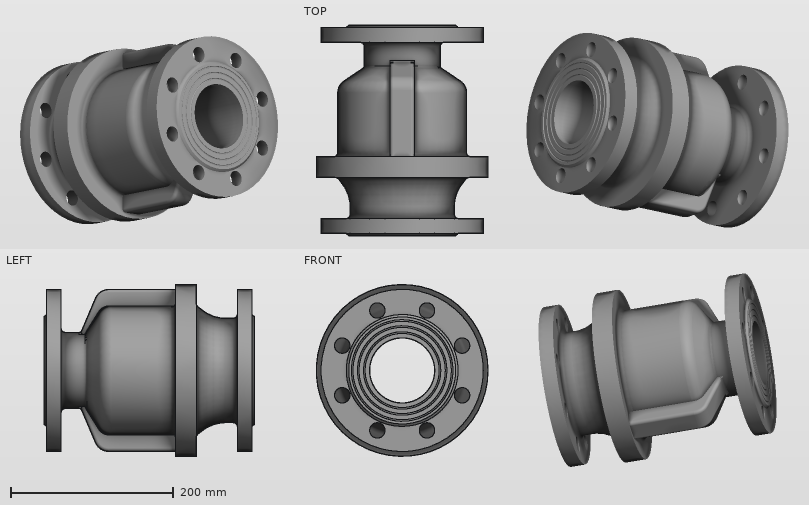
import cadquery as cq
import math

LENGTH = 260.0
INLET_FACE = 0.0
OUTLET_FACE = INLET_FACE + LENGTH
BORE_RADIUS = 80.0 / 2

FLANGE_RADIUS = 200.0 / 2
FLANGE_THICKNESS = 18.4
RAISED_FACE_HEIGHT = 3.0
RAISED_FACE_BASE_RADIUS = 138.0 / 2
RAISED_FACE_RIM_RADIUS = RAISED_FACE_BASE_RADIUS - RAISED_FACE_HEIGHT
BOLT_COUNT = 8
BOLT_HOLE_DIAMETER = 19.0
BOLT_CIRCLE_RADIUS = 160.0 / 2

GROOVE_COUNT = 3
FIRST_GROOVE_RADIUS = 46.7
GROOVE_PITCH = 7.5
GROOVE_HALF_WIDTH = 1.0

MIDDLE_RADIUS = 212.0 / 2
MIDDLE_START = 72.0
MIDDLE_THICKNESS = 25.7
MIDDLE_END = MIDDLE_START + MIDDLE_THICKNESS

ROOT_FILLET = 5.0

INLET_NECK_RADIUS = 129.0 / 2
FLARE_START = 37.0
FLARE_ARC_RADIUS = 43.0
FLARE_ANGLE = math.radians(37.0)
FLARE_ROOT_FILLET = 6.5

BODY_RADIUS = 159.0 / 2
SHOULDER_START = 176.5
SHOULDER_RADIUS = 17.5
CONE_ANGLE = math.radians(56.0)
OUTLET_NECK_RADIUS = 94.0 / 2
NECK_FILLET = 3.0

STRAP_WIDTH = 30.0
STRAP_TOP = 100.0
STRAP_BOTTOM = 79.3
STRAP_BEND_START = 179.5
STRAP_OUTER_BEND_RADIUS = 18.5
STRAP_OUTER_ANGLE = math.radians(67.0)
STRAP_INNER_BEND_RADIUS = 15.0
STRAP_INNER_ANGLE = math.radians(58.0)
STRAP_EDGE_FILLET = 4.0
STRAP_FOOT_FILLET = 3.4
STRAP_FOOT_DEPTH = 5.0


def bend_end(start, height, radius, angle):
    """End (y, height) of an arc that turns inwards by an angle from a line along Y."""
    return start + radius * math.sin(angle), height - radius * (1 - math.cos(angle))


def make_body():
    """Revolve the outer outline, drawn as (radius, y), about the Y axis."""
    inlet_flange_front = INLET_FACE + RAISED_FACE_HEIGHT
    inlet_flange_back = inlet_flange_front + FLANGE_THICKNESS
    outlet_flange_back = OUTLET_FACE - RAISED_FACE_HEIGHT
    outlet_flange_front = outlet_flange_back - FLANGE_THICKNESS

    flare_arc_end_radius = INLET_NECK_RADIUS + FLARE_ARC_RADIUS * (1 - math.cos(FLARE_ANGLE))
    flare_arc_end_y = FLARE_START + FLARE_ARC_RADIUS * math.sin(FLARE_ANGLE)
    flare_cone_y = MIDDLE_START - FLARE_ROOT_FILLET * (1 - math.sin(FLARE_ANGLE))
    flare_cone_radius = flare_arc_end_radius + (flare_cone_y - flare_arc_end_y) * math.tan(FLARE_ANGLE)
    flare_root_radius = flare_cone_radius + FLARE_ROOT_FILLET * math.cos(FLARE_ANGLE)

    shoulder_y, shoulder_radius = bend_end(SHOULDER_START, BODY_RADIUS, SHOULDER_RADIUS, CONE_ANGLE)
    cone_end_radius = OUTLET_NECK_RADIUS + NECK_FILLET * (1 - math.cos(CONE_ANGLE))
    cone_end_y = shoulder_y + (shoulder_radius - cone_end_radius) / math.tan(CONE_ANGLE)
    neck_start_y = cone_end_y + NECK_FILLET * math.sin(CONE_ANGLE)

    outline = (
        cq.Workplane("XY")
        .moveTo(0, INLET_FACE)
        .lineTo(RAISED_FACE_RIM_RADIUS, INLET_FACE)
        .lineTo(RAISED_FACE_BASE_RADIUS, inlet_flange_front)
        .lineTo(FLANGE_RADIUS, inlet_flange_front)
        .lineTo(FLANGE_RADIUS, inlet_flange_back)
        .lineTo(INLET_NECK_RADIUS + ROOT_FILLET, inlet_flange_back)
        .tangentArcPoint((INLET_NECK_RADIUS, inlet_flange_back + ROOT_FILLET), relative=False)
        .lineTo(INLET_NECK_RADIUS, FLARE_START)
        .tangentArcPoint((flare_arc_end_radius, flare_arc_end_y), relative=False)
        .lineTo(flare_cone_radius, flare_cone_y)
        .tangentArcPoint((flare_root_radius, MIDDLE_START), relative=False)
        .lineTo(MIDDLE_RADIUS, MIDDLE_START)
        .lineTo(MIDDLE_RADIUS, MIDDLE_END)
        .lineTo(BODY_RADIUS + ROOT_FILLET, MIDDLE_END)
        .tangentArcPoint((BODY_RADIUS, MIDDLE_END + ROOT_FILLET), relative=False)
        .lineTo(BODY_RADIUS, SHOULDER_START)
        .tangentArcPoint((shoulder_radius, shoulder_y), relative=False)
        .lineTo(cone_end_radius, cone_end_y)
        .tangentArcPoint((OUTLET_NECK_RADIUS, neck_start_y), relative=False)
        .lineTo(OUTLET_NECK_RADIUS, outlet_flange_front - ROOT_FILLET)
        .tangentArcPoint((OUTLET_NECK_RADIUS + ROOT_FILLET, outlet_flange_front), relative=False)
        .lineTo(FLANGE_RADIUS, outlet_flange_front)
        .lineTo(FLANGE_RADIUS, outlet_flange_back)
        .lineTo(RAISED_FACE_BASE_RADIUS, outlet_flange_back)
        .lineTo(RAISED_FACE_RIM_RADIUS, OUTLET_FACE)
        .lineTo(0, OUTLET_FACE)
        .close()
    )
    return outline.revolve(360, (0, 0, 0), (0, 1, 0))


def make_strap():
    """Upper strap, extruded along X from an outline drawn as (y, z)."""
    half_width = STRAP_WIDTH / 2
    root_y = (MIDDLE_START + MIDDLE_END) / 2
    foot_bottom = OUTLET_NECK_RADIUS - STRAP_FOOT_DEPTH

    outer_y, outer_z = bend_end(STRAP_BEND_START, STRAP_TOP, STRAP_OUTER_BEND_RADIUS, STRAP_OUTER_ANGLE)
    inner_y, inner_z = bend_end(STRAP_BEND_START, STRAP_BOTTOM, STRAP_INNER_BEND_RADIUS, STRAP_INNER_ANGLE)
    outer_foot_y = outer_y + (outer_z - foot_bottom) / math.tan(STRAP_OUTER_ANGLE)
    inner_foot_y = inner_y + (inner_z - foot_bottom) / math.tan(STRAP_INNER_ANGLE)

    bar = (
        cq.Workplane("YZ", origin=(-half_width, 0, 0))
        .moveTo(root_y, STRAP_BOTTOM)
        .lineTo(root_y, STRAP_TOP)
        .lineTo(STRAP_BEND_START, STRAP_TOP)
        .tangentArcPoint((outer_y, outer_z), relative=False)
        .lineTo(outer_foot_y, foot_bottom)
        .lineTo(inner_foot_y, foot_bottom)
        .lineTo(inner_y, inner_z)
        .threePointArc(
            bend_end(STRAP_BEND_START, STRAP_BOTTOM, STRAP_INNER_BEND_RADIUS, STRAP_INNER_ANGLE / 2),
            (STRAP_BEND_START, STRAP_BOTTOM),
        )
        .close()
        .extrude(STRAP_WIDTH)
    )
    bar = bar.faces(">Z").edges("|Y").fillet(STRAP_EDGE_FILLET)

    corner_y = outer_y + (outer_z - OUTLET_NECK_RADIUS) / math.tan(STRAP_OUTER_ANGLE)
    tangent_length = STRAP_FOOT_FILLET * math.tan(STRAP_OUTER_ANGLE / 2)
    slope_y = corner_y - tangent_length * math.cos(STRAP_OUTER_ANGLE)
    slope_z = OUTLET_NECK_RADIUS + tangent_length * math.sin(STRAP_OUTER_ANGLE)
    toe_y = corner_y + tangent_length
    foot = (
        cq.Workplane("YZ", origin=(-half_width, 0, 0))
        .moveTo(inner_foot_y, foot_bottom)
        .lineTo(corner_y, OUTLET_NECK_RADIUS)
        .lineTo(slope_y, slope_z)
        .radiusArc((toe_y, OUTLET_NECK_RADIUS), -STRAP_FOOT_FILLET)
        .lineTo(toe_y, foot_bottom)
        .close()
        .extrude(STRAP_WIDTH)
    )
    return bar.union(foot)


def make_bolt_holes():
    """Bolt holes of both pipe flanges, straddling the vertical centre line."""
    depth = RAISED_FACE_HEIGHT + FLANGE_THICKNESS
    half_step = 360 / BOLT_COUNT / 2
    inlet_ring = (
        cq.Workplane("XZ", origin=(0, INLET_FACE, 0))
        .polarArray(BOLT_CIRCLE_RADIUS, half_step, 360, BOLT_COUNT)
        .circle(BOLT_HOLE_DIAMETER / 2)
        .extrude(-depth)
    )
    outlet_ring = inlet_ring.translate((0, LENGTH - depth, 0))
    return inlet_ring.union(outlet_ring)


def make_grooves():
    """Rings that cut the sealing grooves of both raised faces."""
    centres = [
        (FIRST_GROOVE_RADIUS + index * GROOVE_PITCH, face)
        for face in (INLET_FACE, OUTLET_FACE)
        for index in range(GROOVE_COUNT)
    ]
    return (
        cq.Workplane("XY")
        .pushPoints(centres)
        .circle(GROOVE_HALF_WIDTH)
        .revolve(360, (0, 0, 0), (0, 1, 0))
    )


strap = make_strap()
bore = cq.Workplane("XZ", origin=(0, INLET_FACE, 0)).circle(BORE_RADIUS).extrude(-LENGTH)

result = make_body()
result = result.union(strap)
result = result.union(strap.mirror("XY"))
result = result.cut(bore)
result = result.cut(make_bolt_holes())
result = result.cut(make_grooves())